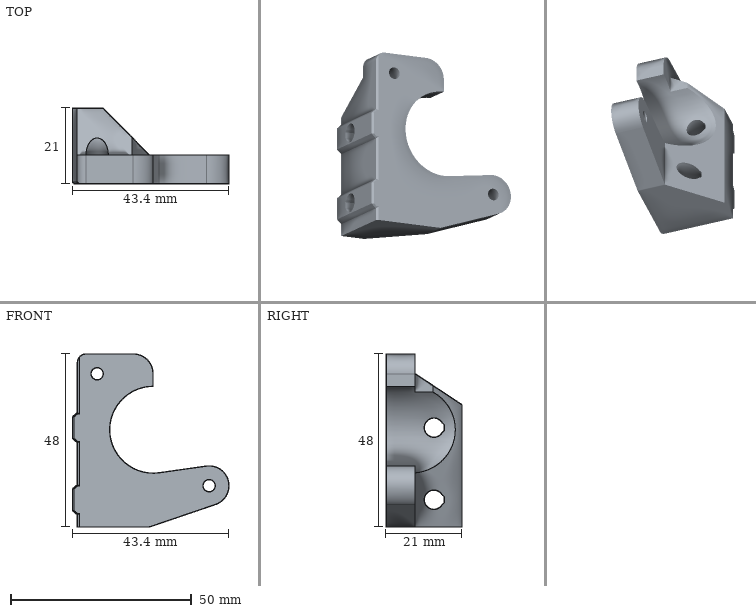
import cadquery as cq
import math

height = 48.0
depth = 21.0
plate_depth = 8.0

rail_rise = 1.35
body_left = rail_rise

bolt_pitch = 31.0
bolt_hole_d = 3.3
head_recess_d = 6.2
edge_radius = 5.5
upper_bolt_x = 6.85
upper_bolt_z = height - edge_radius
tip_x = upper_bolt_x + bolt_pitch
tip_z = upper_bolt_z - bolt_pitch
bore_x = upper_bolt_x + bolt_pitch / 2
bore_z = upper_bolt_z - bolt_pitch / 2
bore_radius = 12.0

corner_radius = 2.5
arm_corner_x = 21.15
arm_corner_radius = 1.5 / 2

gusset_front_x = 21.3
gusset_top_x = 16.45
gusset_back_x = 8.5
gusset_back_z = 33.9

rail_zs = (7.6, 27.55)
rail_tip_half = 6.0 / 2
rail_root_half = 8.4 / 2
rail_root_depth = 2.4

lead_in_depth = 0.5
body_lead_in = 0.6
rail_lead_in = 0.5

mount_y = 13.2
mount_radius = 2.65
mount_apex = 3.65
mount_flat = 2.85


def on_circle(center_x, center_z, radius, angle):
    """Point on an XZ circle at an angle measured from +X toward +Z."""
    return (center_x + radius * math.cos(angle), center_z + radius * math.sin(angle))


def prism(points, y_start, y_end):
    """Extrude a closed XZ polygon between two Y positions."""
    plane = cq.Workplane("XZ", origin=(0, y_start, 0))
    return plane.polyline(points).close().extrude(y_start - y_end)


def cylinder_y(x, z, radius, y_start, y_end):
    """Round bar along Y between two Y positions."""
    plane = cq.Workplane("XZ", origin=(0, y_start, 0))
    return plane.center(x, z).circle(radius).extrude(y_start - y_end)


def hook_body(body_depth):
    """Hook outline: C-shaped bore, arm with a round tip, flat left side."""
    center_gap = math.hypot(tip_x - bore_x, tip_z - bore_z)
    center_angle = math.atan2(tip_z - bore_z, tip_x - bore_x)
    bore_tangent = center_angle - math.acos((bore_radius + edge_radius) / center_gap)
    tip_tangent = bore_tangent + math.pi
    corner_run = tip_x - arm_corner_x
    corner_rise = tip_z - arm_corner_radius
    corner_gap = math.hypot(corner_run, corner_rise)
    turn = math.asin((edge_radius - arm_corner_radius) / corner_gap)
    lower_slope = math.atan2(corner_rise, corner_run) - turn
    lower_tangent = lower_slope - math.pi / 2
    corner_middle = (lower_slope - math.pi) / 2
    inset = 1 - math.sqrt(0.5)
    return (
        cq.Workplane("XZ")
        .moveTo(body_left, 0)
        .lineTo(arm_corner_x, 0)
        .threePointArc(
            on_circle(arm_corner_x, arm_corner_radius, arm_corner_radius, corner_middle),
            on_circle(arm_corner_x, arm_corner_radius, arm_corner_radius, lower_tangent),
        )
        .lineTo(*on_circle(tip_x, tip_z, edge_radius, lower_tangent))
        .threePointArc(
            (tip_x + edge_radius, tip_z),
            on_circle(tip_x, tip_z, edge_radius, tip_tangent),
        )
        .lineTo(*on_circle(bore_x, bore_z, bore_radius, bore_tangent))
        .threePointArc((bore_x - bore_radius, bore_z), (bore_x, bore_z + bore_radius))
        .lineTo(bore_x, height - edge_radius)
        .threePointArc(
            (bore_x - edge_radius * inset, height - edge_radius * inset),
            (bore_x - edge_radius, height),
        )
        .lineTo(body_left + corner_radius, height)
        .threePointArc(
            (body_left + corner_radius * inset, height - corner_radius * inset),
            (body_left, height - corner_radius),
        )
        .close()
        .extrude(-body_depth)
    )


def gusset_envelope():
    """Space kept for the gusset: sloped top, slanted right side, short above the bore."""
    slanted = (
        cq.Workplane("XY")
        .polyline([
            (body_left, plate_depth),
            (gusset_front_x, plate_depth),
            (gusset_back_x, depth),
            (body_left, depth),
        ])
        .close()
        .extrude(height)
    )
    sloped = (
        cq.Workplane("YZ")
        .polyline([(plate_depth, 0), (depth, 0), (depth, gusset_back_z), (plate_depth, upper_bolt_z)])
        .close()
        .extrude(gusset_front_x)
    )
    above_bore = cq.Workplane("XY").box(height, depth, height, centered=False)
    above_bore = above_bore.translate((gusset_top_x, plate_depth, bore_z))
    return slanted.intersect(sloped).cut(above_bore)


def rail_profile(z, tip_x_offset):
    """Rail section whose slanted flanks stay parallel when the tip is set back."""
    flank_slope = (rail_root_half - rail_tip_half) / rail_rise
    root_half = rail_root_half - flank_slope * tip_x_offset
    return [
        (tip_x_offset, z - rail_tip_half),
        (tip_x_offset, z + rail_tip_half),
        (rail_rise, z + root_half),
        (rail_root_depth, z + root_half),
        (rail_root_depth, z - root_half),
        (rail_rise, z - root_half),
    ]


def rail(z):
    """Full rail with a tapered lead-in at its front end."""
    straight = prism(rail_profile(z, 0), lead_in_depth, depth)
    lead_in = (
        cq.Workplane("XZ")
        .polyline(rail_profile(z, rail_lead_in))
        .close()
        .workplane(offset=-lead_in_depth)
        .polyline(rail_profile(z, 0))
        .close()
        .loft(ruled=True)
    )
    return straight.union(lead_in)


def mounting_hole(z):
    """Teardrop hole along X with a blunted 45-degree point toward +Y."""
    plane = cq.Workplane("YZ", origin=(0, mount_y, z))
    round_hole = plane.circle(mount_radius).extrude(gusset_front_x)
    flat_half = mount_apex - mount_flat
    point = (
        plane.polyline([
            (0, 0),
            (mount_apex / 2, mount_apex / 2),
            (mount_flat, flat_half),
            (mount_flat, -flat_half),
            (mount_apex / 2, -mount_apex / 2),
        ])
        .close()
        .extrude(gusset_front_x)
    )
    return round_hole.union(point)


plate = hook_body(plate_depth)
gusset = hook_body(depth).intersect(gusset_envelope())
result = plate.union(gusset)

edge_wedge = (
    cq.Workplane("XY")
    .polyline([(body_left, 0), (body_left + body_lead_in, 0), (body_left, lead_in_depth)])
    .close()
    .extrude(height)
)
result = result.cut(edge_wedge)

for rail_z in rail_zs:
    result = result.union(rail(rail_z)).cut(mounting_hole(rail_z))

for x, z in ((upper_bolt_x, upper_bolt_z), (tip_x, tip_z)):
    result = result.cut(cylinder_y(x, z, bolt_hole_d / 2, 0, plate_depth))
head_recess = cylinder_y(upper_bolt_x, upper_bolt_z, head_recess_d / 2, plate_depth, depth)
result = result.cut(head_recess)